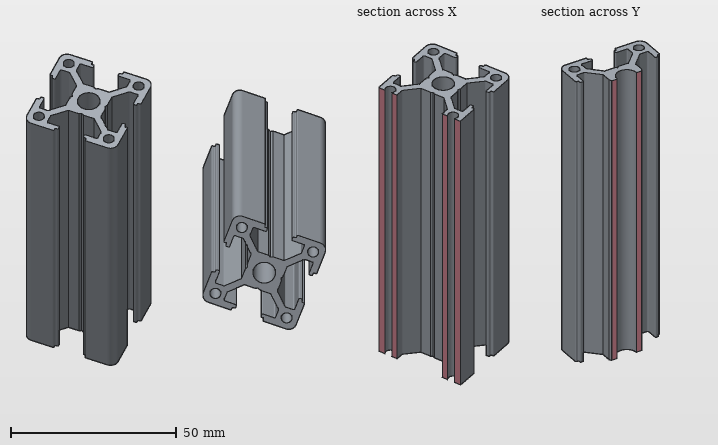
import cadquery as cq

length = 100.0
side = 30.0
corner_radius = 2.5

mouth_width = 10.2
mouth_radius = 0.3
pocket_radius = 0.4
lip_gap = 8.2
lip_step = 1.0
lip_thickness = 2.2
lip_tip_radius = 0.3
pocket_width = 16.6
core_width = 11.6
web_thickness = 2.2

groove_width = 1.5
groove_depth = 0.4

bore_diameter = 6.8
corner_hole_diameter = 3.3
corner_hole_spacing = 23.0

half_side = side / 2
half_core = core_width / 2
half_pocket = pocket_width / 2
lip_inner = half_side - lip_thickness
web_offset = web_thickness / 2 * 2**0.5
floor_end = half_core - web_offset
pocket_shoulder = half_pocket + web_offset


def round_edges(body, x, y, radius):
    """Fillet the lengthwise edges at (x, y) and (-x, y)."""
    for edge_x in (-x, x):
        edge = cq.selectors.NearestToPointSelector((edge_x, y, length / 2))
        body = body.edges("|Z").edges(edge).fillet(radius)
    return body


def slot_cutter():
    """T-slot open towards +Y, with a V groove in its floor."""
    right_half = [
        (groove_width / 2, half_core),
        (floor_end, half_core),
        (half_pocket, pocket_shoulder),
        (half_pocket, lip_inner),
        (lip_gap / 2, lip_inner),
        (lip_gap / 2, half_side - lip_step),
        (mouth_width / 2, half_side - lip_step),
        (mouth_width / 2, half_side),
    ]
    left_half = [(-x, y) for x, y in reversed(right_half)]
    groove_bottom = (0, half_core - groove_depth)
    cutter = cq.Workplane("XY").polyline([groove_bottom] + right_half + left_half).close().extrude(length)

    cutter = round_edges(cutter, lip_gap / 2, lip_inner, lip_tip_radius)
    cutter = round_edges(cutter, lip_gap / 2, half_side - lip_step, lip_tip_radius)
    cutter = round_edges(cutter, mouth_width / 2, half_side - lip_step, mouth_radius)
    cutter = round_edges(cutter, half_pocket, pocket_shoulder, pocket_radius)
    cutter = round_edges(cutter, half_pocket, lip_inner, pocket_radius)
    return cutter


bar = cq.Workplane("XY").rect(side, side).extrude(length).edges("|Z").fillet(corner_radius)

slot = slot_cutter()
for quarter_turn in range(4):
    bar = bar.cut(slot)
    bar = round_edges(bar, mouth_width / 2, half_side, mouth_radius)
    bar = bar.rotate((0, 0, 0), (0, 0, 1), 90)

bore = cq.Workplane("XY").circle(bore_diameter / 2).extrude(length)
corner_holes = (
    cq.Workplane("XY")
    .rect(corner_hole_spacing, corner_hole_spacing, forConstruction=True)
    .vertices()
    .circle(corner_hole_diameter / 2)
    .extrude(length)
)

result = bar.cut(bore).cut(corner_holes)